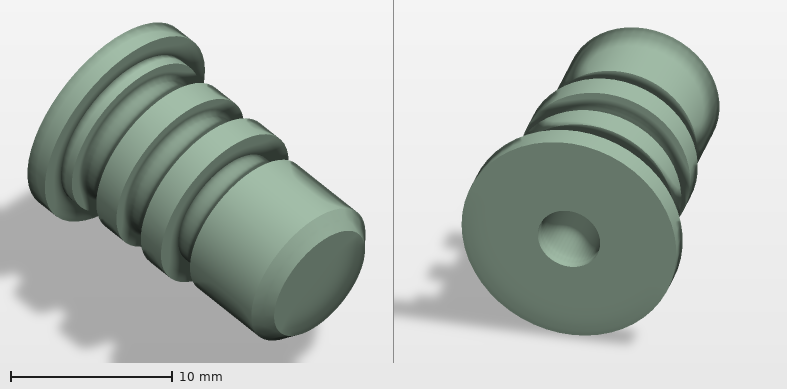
import cadquery as cq
import math

total_length = 19.0
flange_width = 1.55
collar_width = 0.97
groove_width = 2.18
ring_width = 1.8
neck_width = 2.0
nose_length = 1.0

flange_diameter = 13.8
ring_diameter = 11.0
groove_diameter = 8.8
neck_diameter = 8.0
head_diameter = 9.85
nose_diameter = 7.83
bore_diameter = 4.0

groove_fillet = 0.3
ring_count = 2

bore_depth = 11.4
drill_tip_angle = 118.0


def disc(start, width, diameter):
    """Solid cylinder about the X axis, beginning at x = start."""
    return cq.Workplane("YZ", origin=(start, 0, 0)).circle(diameter / 2).extrude(width)


def groove_core(start):
    """Groove floor that curves up to the wall at both ends of the groove."""
    end = start + groove_width
    floor = groove_diameter / 2
    shoulder = floor + groove_fillet
    bend = groove_fillet * (1 - math.sqrt(0.5))
    return (
        cq.Workplane("XY")
        .moveTo(start, 0)
        .lineTo(start, shoulder)
        .threePointArc((start + bend, floor + bend), (start + groove_fillet, floor))
        .lineTo(end - groove_fillet, floor)
        .threePointArc((end - bend, floor + bend), (end, shoulder))
        .lineTo(end, 0)
        .close()
        .revolve(360, (0, 0, 0), (1, 0, 0))
    )


def head(start):
    """Cylindrical head tapering to a conical nose at the free end."""
    return (
        cq.Workplane("XY")
        .moveTo(start, 0)
        .lineTo(start, head_diameter / 2)
        .lineTo(total_length - nose_length, head_diameter / 2)
        .lineTo(total_length, nose_diameter / 2)
        .lineTo(total_length, 0)
        .close()
        .revolve(360, (0, 0, 0), (1, 0, 0))
    )


def bore():
    """Blind hole from the flange face, ending in a cone."""
    radius = bore_diameter / 2
    tip_length = radius / math.tan(math.radians(drill_tip_angle / 2))
    return (
        cq.Workplane("XY")
        .lineTo(0, radius)
        .lineTo(bore_depth, radius)
        .lineTo(bore_depth + tip_length, 0)
        .close()
        .revolve(360, (0, 0, 0), (1, 0, 0))
    )


body = disc(0, flange_width, flange_diameter)
body = body.union(disc(flange_width, collar_width, ring_diameter))

position = flange_width + collar_width
for _ in range(ring_count):
    body = body.union(groove_core(position))
    position += groove_width
    body = body.union(disc(position, ring_width, ring_diameter))
    position += ring_width

body = body.union(disc(position, neck_width, neck_diameter))
body = body.union(head(position + neck_width))

result = body.cut(bore())